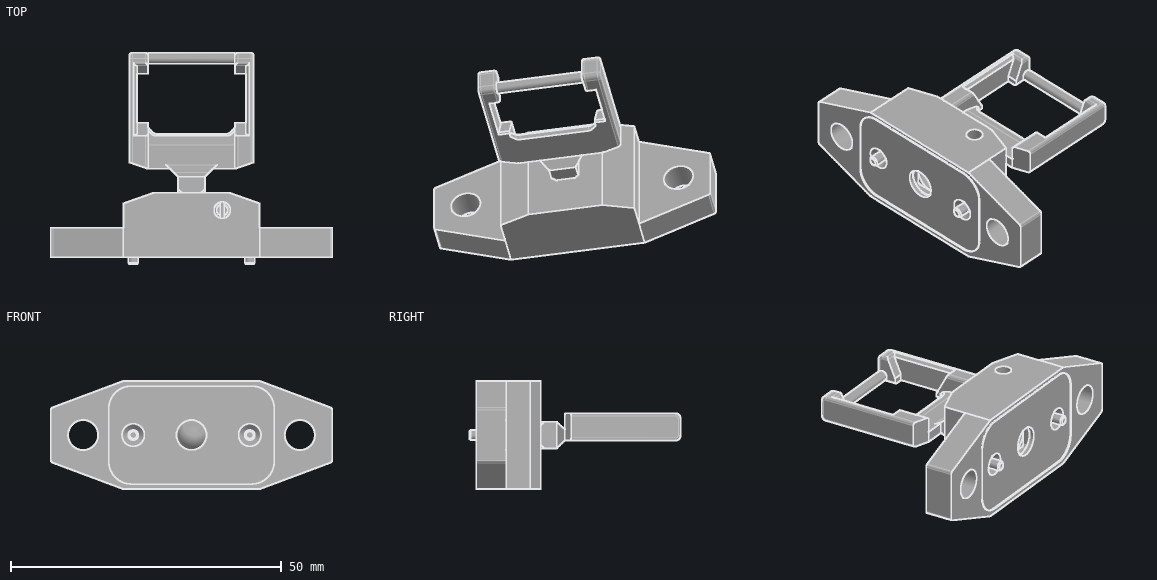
import cadquery as cq
import math


base_half_length = 26.0
base_end_half_height = 5.0
base_height = 20.0
base_half_height = base_height / 2
base_thickness = 5.5
base_corner_radius = 0.5
block_half_length = 12.6
block_depth = 11.95
block_top_half_length = 6.95
block_shoulder = 10.0
recess_length = 30.6
recess_height = 18.1
recess_radius = 4.15
recess_depth = 0.2
mounting_hole_x = 20.0
mounting_hole_radius = 2.75

bore_radius = 2.75
pocket_width = 5.7
pocket_corner_radius = 0.5
pocket_start = 1.2
pocket_end = 2.6

pin_x = 10.75
pin_radius = 0.95
pin_projection = 1.3
pin_end_y = 5.5
pin_chamfer = 0.25
countersink_radius = 2.1

screw_x = 5.65
screw_y = 8.75
screw_radius = 1.5
screw_top_radius = 1.05
screw_chamfer_height = 0.2
screw_length = 3.1
screw_hole_depth = 6.25
screw_slot_width = 0.75
screw_slot_depth = 0.6

stem_half_width = 2.5
stem_corner_start = 12.65
shank_end = 11.55
ball_center_y = 7.45
flare_start = 14.85
flare_fillet_start = 15.75
flare_end = 17.15

frame_half_width = 11.5
frame_opening_half_width = 8.0
frame_front = 16.35
frame_bevel_end = 17.5
frame_end = 37.8
frame_bottom = -1.05
frame_top = 4.05
frame_end_radius = 1.05
frame_edge_radius = 0.5
wall_inner_x = 10.05
wall_chamfer = 0.6
window_front_top = 22.45
window_front_bottom = 24.9
window_front_lip = -0.4
window_back_bottom = 33.9
window_back_lip = 0.2
window_back_top = 35.6

bar_top = 1.05
bar_slope_start = 20.8
bar_slope_angle = 14.5
bar_back = 22.85
bar_edge_chamfer = 0.4
bar_gusset = 1.15
bar_gusset_radius = 1.05

pick_margin = 0.05


def cylinder_along_y(x, radius, y_start, y_end):
    """Cylinder parallel to Y at height Z = 0."""
    return (
        cq.Workplane("XZ", origin=(x, y_start, 0))
        .circle(radius)
        .extrude(y_start - y_end)
    )


def tetrahedron(a, b, c, d):
    """Solid with four triangular faces between the given corners."""
    faces = [
        cq.Face.makeFromWires(cq.Wire.makePolygon([*corners, corners[0]]))
        for corners in ([a, b, c], [a, b, d], [a, c, d], [b, c, d])
    ]
    return cq.Workplane(cq.Solid.makeSolid(cq.Shell.makeShell(faces)).fix())


def make_shank():
    """Round end of the stem, closed by a hemisphere towards the mounting face."""
    ball = cq.Workplane("XY").sphere(bore_radius).translate((0, ball_center_y, 0))
    return ball.union(cylinder_along_y(0, bore_radius, ball_center_y, shank_end))


def make_stem():
    """Square stem whose corners taper away towards the round shank."""
    square = (
        cq.Workplane("XZ", origin=(0, shank_end, 0))
        .rect(2 * stem_half_width, 2 * stem_half_width)
        .extrude(shank_end - flare_start)
    )
    corner_cut = stem_corner_start - shank_end
    for sign_x in (-1, 1):
        for sign_z in (-1, 1):
            corner = cq.Vector(sign_x * stem_half_width, shank_end, sign_z * stem_half_width)
            along_x = corner - cq.Vector(sign_x * corner_cut, 0, 0)
            along_z = corner - cq.Vector(0, 0, sign_z * corner_cut)
            tip = corner + cq.Vector(0, corner_cut, 0)
            square = square.cut(tetrahedron(corner, along_x, along_z, tip))
    return square.union(make_shank())


def make_flare():
    """Stem end that widens in X at 45 degrees while it thins in Z down to the cross bar."""
    fillet_start_z = stem_half_width - (flare_fillet_start - flare_start)
    side = (
        cq.Workplane("YZ", origin=(-frame_half_width, 0, 0))
        .moveTo(flare_start, stem_half_width)
        .lineTo(flare_fillet_start, fillet_start_z)
        .tangentArcPoint((flare_end, bar_top), relative=False)
        .lineTo(flare_end, frame_bottom)
        .lineTo(flare_start + stem_half_width + frame_bottom, frame_bottom)
        .lineTo(flare_start, -stem_half_width)
        .close()
        .extrude(2 * frame_half_width)
    )
    end_half_width = stem_half_width + flare_end - flare_start
    plan = (
        cq.Workplane("XY", origin=(0, 0, -stem_half_width))
        .polyline(
            [
                (-stem_half_width, flare_start),
                (stem_half_width, flare_start),
                (end_half_width, flare_end),
                (-end_half_width, flare_end),
            ]
        )
        .close()
        .extrude(2 * stem_half_width)
    )
    return side.intersect(plan)


def make_window():
    """Space between the end blocks of the +X arm, with steep ends and a 45 degree wall edge."""
    wall_top_x = wall_inner_x + wall_chamfer
    lengthwise = (
        cq.Workplane("YZ", origin=(frame_opening_half_width, 0, 0))
        .polyline(
            [
                (window_front_top, frame_top),
                (window_front_bottom, window_front_lip),
                (window_front_bottom, frame_bottom),
                (window_back_bottom, frame_bottom),
                (window_back_bottom, window_back_lip),
                (window_back_top, frame_top),
            ]
        )
        .close()
        .extrude(wall_top_x - frame_opening_half_width)
    )
    crosswise = (
        cq.Workplane("XZ", origin=(0, frame_front, 0))
        .polyline(
            [
                (frame_opening_half_width, frame_bottom),
                (wall_inner_x, frame_bottom),
                (wall_inner_x, frame_top - wall_chamfer),
                (wall_top_x, frame_top),
                (frame_opening_half_width, frame_top),
            ]
        )
        .close()
        .extrude(frame_front - frame_end)
    )
    return lengthwise.intersect(crosswise)


def make_arm():
    """Arm on the +X side: a thin wall with a block at each end."""
    length = frame_end - frame_front
    arm = (
        cq.Workplane("YZ", origin=(frame_opening_half_width, 0, 0))
        .center(frame_front + length / 2, (frame_top + frame_bottom) / 2)
        .rect(length, frame_top - frame_bottom)
        .extrude(frame_half_width - frame_opening_half_width)
        .edges("|X and >Y")
        .fillet(frame_end_radius)
    )
    arm = arm.faces(">X").edges("not(<Y)").fillet(frame_edge_radius)
    arm = arm.cut(make_window())
    block_inner_edges = cq.selectors.BoxSelector(
        (frame_opening_half_width - pick_margin, frame_front, frame_top - pick_margin),
        (frame_opening_half_width + pick_margin, frame_end, frame_top + pick_margin),
    )
    back_block_edge = cq.selectors.NearestToPointSelector(
        ((frame_opening_half_width + wall_inner_x) / 2, window_back_top, frame_top)
    )
    arm = arm.edges(block_inner_edges + back_block_edge).fillet(frame_edge_radius)
    bevel = (
        cq.Workplane("XY", origin=(0, 0, frame_bottom))
        .polyline(
            [
                (frame_opening_half_width, frame_front),
                (frame_half_width, frame_bevel_end),
                (frame_half_width, frame_front),
            ]
        )
        .close()
        .extrude(frame_top - frame_bottom)
    )
    return arm.cut(bevel)


def make_bar():
    """Bar between the arms, sloping down to a chamfered edge at the opening, with corner gussets."""
    gusset_end = bar_back + bar_gusset
    gusset_x = frame_opening_half_width - bar_gusset
    bar = (
        cq.Workplane("XY", origin=(0, 0, frame_bottom))
        .polyline(
            [
                (-frame_opening_half_width, frame_front),
                (frame_opening_half_width, frame_front),
                (frame_opening_half_width, gusset_end),
                (gusset_x, bar_back),
                (-gusset_x, bar_back),
                (-frame_opening_half_width, gusset_end),
            ]
        )
        .close()
        .extrude(bar_top - frame_bottom)
    )
    slope_drop = (gusset_end - bar_slope_start) * math.tan(math.radians(bar_slope_angle))
    slope = (
        cq.Workplane("YZ", origin=(-frame_opening_half_width, 0, 0))
        .polyline(
            [
                (bar_slope_start, bar_top),
                (gusset_end, bar_top - slope_drop),
                (gusset_end, bar_top),
            ]
        )
        .close()
        .extrude(2 * frame_opening_half_width)
    )
    bar = bar.cut(slope)
    gusset_corners = cq.selectors.BoxSelector(
        (-gusset_x - pick_margin, bar_back - pick_margin, frame_bottom),
        (gusset_x + pick_margin, bar_back + pick_margin, frame_top),
    )
    bar = bar.edges("|Z").edges(gusset_corners).fillet(bar_gusset_radius)
    sloped_face = cq.selectors.NearestToPointSelector((0, bar_back, bar_top))
    opening_edges = cq.selectors.BoxSelector(
        (-frame_opening_half_width + pick_margin, bar_back - pick_margin, 0),
        (frame_opening_half_width - pick_margin, gusset_end, bar_top),
    )
    return bar.faces(sloped_face).edges(opening_edges).chamfer(bar_edge_chamfer)


def make_rod():
    """Round rod that joins the far ends of the arms."""
    return (
        cq.Workplane("YZ", origin=(-frame_opening_half_width, 0, 0))
        .center(frame_end - frame_end_radius, frame_bottom + frame_end_radius)
        .circle(frame_end_radius)
        .extrude(2 * frame_opening_half_width)
    )


def make_clip():
    """Frame of two arms joined by a bar and a rod, with its stem."""
    arm = make_arm()
    return (
        make_bar()
        .union(arm)
        .union(arm.mirror("YZ"))
        .union(make_rod())
        .union(make_flare())
        .union(make_stem())
    )


def make_pin(x):
    """Contact pin with a chamfered tip in front of the mounting face."""
    return cylinder_along_y(x, pin_radius, -pin_projection, pin_end_y).faces("<Y").chamfer(pin_chamfer)


def make_screw():
    """Slotted set screw, sunk below the top of the housing."""
    top = base_half_height - screw_hole_depth + screw_length
    screw = (
        cq.Workplane("XY", origin=(screw_x, screw_y, top - screw_length))
        .circle(screw_radius)
        .extrude(screw_length)
        .faces(">Z")
        .chamfer(screw_chamfer_height, screw_radius - screw_top_radius)
    )
    slot = cq.Workplane("XY", origin=(screw_x, screw_y, top - screw_slot_depth)).box(
        screw_slot_width, 2 * screw_radius, screw_slot_depth, centered=(True, True, False)
    )
    return screw.cut(slot)


def make_housing():
    """Mounting base and block with the bore for the stem and the holes for pins and screw."""
    base = (
        cq.Workplane("XZ")
        .polyline(
            [
                (-base_half_length, -base_end_half_height),
                (-block_half_length, -base_half_height),
                (block_half_length, -base_half_height),
                (base_half_length, -base_end_half_height),
                (base_half_length, base_end_half_height),
                (block_half_length, base_half_height),
                (-block_half_length, base_half_height),
                (-base_half_length, base_end_half_height),
            ]
        )
        .close()
        .extrude(-base_thickness)
        .edges("|Y and (<X or >X)")
        .fillet(base_corner_radius)
    )
    block = (
        cq.Workplane("XY", origin=(0, 0, -base_half_height))
        .polyline(
            [
                (-block_half_length, 0),
                (block_half_length, 0),
                (block_half_length, block_shoulder),
                (block_top_half_length, block_depth),
                (-block_top_half_length, block_depth),
                (-block_half_length, block_shoulder),
            ]
        )
        .close()
        .extrude(base_height)
    )
    recess = (
        cq.Workplane("XZ")
        .rect(recess_length, recess_height)
        .extrude(-recess_depth)
        .edges("|Y")
        .fillet(recess_radius)
    )
    housing = base.union(block).cut(recess)
    for side in (-1, 1):
        mounting_hole = cylinder_along_y(side * mounting_hole_x, mounting_hole_radius, 0, base_thickness)
        housing = housing.cut(mounting_hole).cut(make_pin_hole(side * pin_x))
    screw_hole = (
        cq.Workplane("XY", origin=(screw_x, screw_y, base_half_height))
        .circle(screw_radius)
        .extrude(-screw_hole_depth)
    )
    housing = housing.cut(screw_hole)
    pocket = (
        cq.Workplane("XZ", origin=(0, pocket_start, 0))
        .rect(pocket_width, pocket_width)
        .extrude(pocket_start - pocket_end)
        .edges("|Y")
        .fillet(pocket_corner_radius)
    )
    bore = cylinder_along_y(0, bore_radius, 0, ball_center_y)
    return housing.cut(bore).cut(pocket).cut(make_stem())


def make_pin_hole(x):
    """Hole that a pin fills, opening into a 45 degree countersink."""
    countersink = cq.Workplane(
        cq.Solid.makeCone(
            countersink_radius,
            pin_radius,
            countersink_radius - pin_radius,
            pnt=cq.Vector(x, recess_depth, 0),
            dir=cq.Vector(0, 1, 0),
        )
    )
    return countersink.union(cylinder_along_y(x, pin_radius, 0, pin_end_y))


housing = make_housing()
clip = make_clip()
screw = make_screw()
pins = [make_pin(side * pin_x) for side in (-1, 1)]
result = cq.Compound.makeCompound(
    [body.solids().val() for body in (housing, clip, screw, *pins)]
)